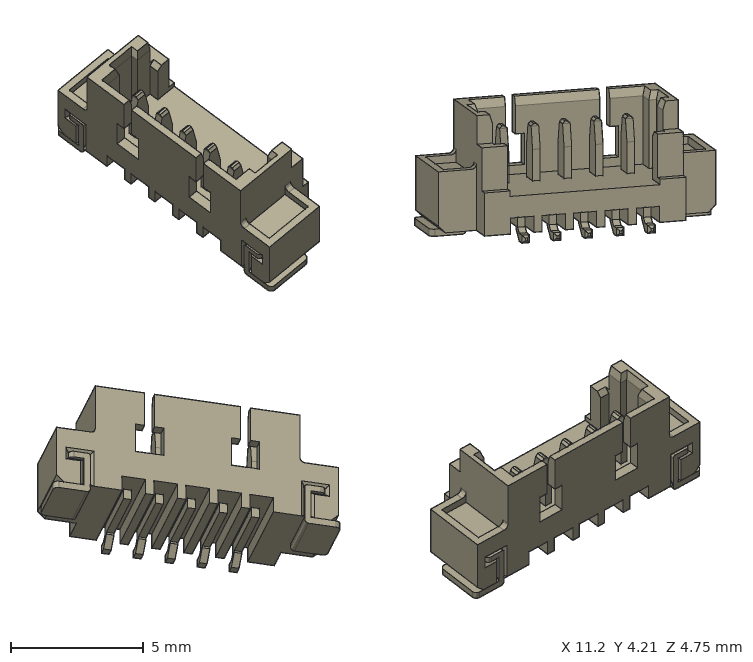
import cadquery as cq


housing_bottom = 0.28
housing_top = 4.75
body_half_width = 4.0
wing_half_width = 5.51
wing_depth = 2.73
wing_top = 2.67
wing_fillet = 0.2
wing_chamfer = 0.28
wing_pocket_wall = 0.3
wing_pocket_depth = 0.3

upper_depth = 2.8
post_depth = 3.4
base_depth = 3.71
post_top = 3.64
base_top = 1.96

cavity_floor = 1.75
cavity_front = 0.4
cavity_half_width = 3.38
groove_half_width = 3.68
groove_front = 1.12
groove_back = 2.12
mouth_height = 0.35
mouth_flare = 0.11
rear_gap_half_width = 2.98
post_chamfer = 0.2

pin_count = 5
pin_pitch = 5.0 / (pin_count - 1)
pin_width = 0.3
pin_front = 0.88
pin_back = 1.62
pin_shoulder = 2.97
pin_bevel = 3.83
pin_top = 3.93
pin_tip_width = 0.1
pin_tip_depth = 0.38
arm_bottom = 0.49
leg_front = 3.38
leg_back = 3.61
foot_start = 3.8
foot_thickness = 0.31
foot_shoulder = 4.12
foot_end = 4.21
foot_tip_width = 0.09
foot_tip_height = 0.1

notch_width = 0.92
notch_top = 0.91

window_spacing = 3 * pin_pitch
window_width = 1.1
window_bottom = 2.1
window_top = 3.3
window_slot_width = 0.39

clip_outer = 5.6
clip_inner = 4.19
clip_depth = 2.06
clip_foot_thickness = housing_bottom
clip_thickness = 0.25
clip_hook_end = 5.02
clip_top = 1.7
clip_bend_radius = 0.15
clip_hook_radius = 0.1
clip_end_radius = 0.19
clip_mouth_flare = 0.13
clip_mouth_depth = 0.13


def box(x_range, y_range, z_range):
    """Axis-aligned block between the given limits."""
    size = [high - low for low, high in (x_range, y_range, z_range)]
    corner = (x_range[0], y_range[0], z_range[0])
    return cq.Workplane("XY").box(*size, centered=False).translate(corner)


def both_sides(shape):
    """The shape together with its mirror image in the plane X = 0."""
    return shape.union(shape.mirror("YZ"))


def clip():
    """Right-hand clip: a foot, an upright and a hook, bent from one strip."""
    upright_outer = clip_inner + clip_thickness
    hook_bottom = clip_top - clip_thickness
    outline = [
        (clip_inner, 0),
        (clip_outer, 0),
        (clip_outer, clip_foot_thickness),
        (upright_outer, clip_foot_thickness),
        (upright_outer, hook_bottom),
        (clip_hook_end, hook_bottom),
        (clip_hook_end, clip_top),
        (clip_inner, clip_top),
    ]
    strip = cq.Workplane("XZ").polyline(outline).close().extrude(-clip_depth)
    strip = strip.edges("|Y and <X and <Z").fillet(clip_bend_radius)
    strip = strip.edges("|Y and <X and >Z").fillet(clip_hook_radius)
    strip = strip.faces(">X").edges("|Z").fillet(clip_end_radius)
    hook_middle = (hook_bottom + clip_top) / 2
    front_corner = cq.selectors.NearestToPointSelector((clip_hook_end, 0, hook_middle))
    back_corner = cq.selectors.NearestToPointSelector((clip_hook_end, clip_depth, hook_middle))
    return strip.edges("|Z").edges(front_corner + back_corner).fillet(clip_end_radius)


def clip_slot_outline(flare):
    """Outline of the slot for the right-hand clip, widened by the flare on every side."""
    inner = clip_inner - flare
    upright_outer = clip_inner + clip_thickness + flare
    hook_end = clip_hook_end + flare
    hook_bottom = clip_top - clip_thickness - flare
    bottom = housing_bottom + clip_mouth_flare - flare
    top = clip_top + flare
    return [
        (inner, bottom),
        (upright_outer, bottom),
        (upright_outer, hook_bottom),
        (hook_end, hook_bottom),
        (hook_end, top),
        (inner, top),
    ]


def clip_slot():
    """Slot for the right-hand clip, with a mouth that widens towards the front."""
    mouth = (
        cq.Workplane("XZ")
        .polyline(clip_slot_outline(clip_mouth_flare))
        .close()
        .workplane(offset=-clip_mouth_depth)
        .polyline(clip_slot_outline(0))
        .close()
        .loft(ruled=True)
    )
    slot = cq.Workplane("XZ").polyline(clip_slot_outline(0)).close().extrude(-clip_depth)
    return mouth.union(slot)


def pin():
    """Contact pin on X = 0: a blade, an arm, a leg sloping at 45 degrees and a foot, with tapered tips."""
    leg_front_bottom = foot_start - leg_front
    leg_back_bottom = foot_thickness + foot_start - leg_back
    outline = [
        (pin_front, arm_bottom),
        (leg_front, arm_bottom),
        (leg_front, leg_front_bottom),
        (foot_start, 0),
        (foot_shoulder, 0),
        (foot_shoulder, foot_thickness),
        (foot_start, foot_thickness),
        (leg_back, leg_back_bottom),
        (leg_back, notch_top),
        (pin_back, notch_top),
        (pin_back, pin_shoulder),
        (pin_front, pin_shoulder),
    ]
    body = cq.Workplane("YZ").polyline(outline).close().extrude(pin_width / 2, both=True)
    blade_taper = (
        cq.Workplane("XY", origin=(0, (pin_front + pin_back) / 2, pin_shoulder))
        .rect(pin_width, pin_back - pin_front)
        .workplane(offset=pin_bevel - pin_shoulder)
        .rect(pin_width, pin_tip_depth)
        .loft(ruled=True)
    )
    blade_tip = (
        cq.Workplane("XY", origin=(0, (pin_front + pin_back) / 2, pin_bevel))
        .rect(pin_width, pin_tip_depth)
        .workplane(offset=pin_top - pin_bevel)
        .rect(pin_tip_width, pin_tip_depth)
        .loft(ruled=True)
    )
    foot_tip = (
        cq.Workplane("XZ", origin=(0, foot_shoulder, foot_thickness / 2))
        .rect(pin_width, foot_thickness)
        .workplane(offset=foot_shoulder - foot_end)
        .rect(foot_tip_width, foot_tip_height)
        .loft(ruled=True)
    )
    return body.union(blade_taper).union(blade_tip).union(foot_tip)


def housing_blank():
    """Stepped central body with a wing on each side."""
    profile = [
        (0, housing_bottom),
        (base_depth, housing_bottom),
        (base_depth, base_top),
        (post_depth, base_top),
        (post_depth, post_top),
        (upper_depth, post_top),
        (upper_depth, housing_top),
        (0, housing_top),
    ]
    body = cq.Workplane("YZ").polyline(profile).close().extrude(body_half_width, both=True)
    fillet_end = body_half_width + wing_fillet
    wing = (
        cq.Workplane("XZ")
        .moveTo(0, housing_bottom)
        .lineTo(wing_half_width - wing_chamfer, housing_bottom)
        .lineTo(wing_half_width, housing_bottom + wing_chamfer)
        .lineTo(wing_half_width, wing_top)
        .lineTo(fillet_end, wing_top)
        .radiusArc((body_half_width, wing_top + wing_fillet), wing_fillet)
        .lineTo(0, wing_top + wing_fillet)
        .close()
        .extrude(-wing_depth)
    )
    return body.union(both_sides(wing))


def wing_pockets():
    """Shallow pocket in the top of each wing, open towards the body."""
    pocket = box(
        (body_half_width, wing_half_width - wing_pocket_wall),
        (wing_pocket_wall, wing_depth - wing_pocket_wall),
        (wing_top - wing_pocket_depth, housing_top),
    )
    return both_sides(pocket)


def cavity_outline(flare):
    """Outline of the mating cavity, with the front and side walls moved outwards by the flare."""
    half_outline = [
        (cavity_half_width + flare, cavity_front - flare),
        (cavity_half_width + flare, groove_front - flare),
        (groove_half_width + flare, groove_front - flare),
        (groove_half_width + flare, groove_back + flare),
        (cavity_half_width + flare, groove_back + flare),
        (cavity_half_width + flare, upper_depth),
    ]
    return half_outline + [(-x, y) for x, y in reversed(half_outline)]


def cavity():
    """Mating cavity with side grooves, a flared mouth, an open rear and chamfered rear posts."""
    well = cq.Workplane("XY", origin=(0, 0, cavity_floor)).polyline(cavity_outline(0)).close()
    well = well.extrude(housing_top - cavity_floor)
    mouth = (
        cq.Workplane("XY", origin=(0, 0, housing_top - mouth_height))
        .polyline(cavity_outline(0))
        .close()
        .workplane(offset=mouth_height)
        .polyline(cavity_outline(mouth_flare))
        .close()
        .loft(ruled=True)
    )
    rear_gap = box(
        (-rear_gap_half_width, rear_gap_half_width),
        (cavity_front, base_depth),
        (cavity_floor, housing_top),
    )
    post_chamfers = (
        cq.Workplane("YZ")
        .moveTo(upper_depth, post_top - post_chamfer)
        .lineTo(upper_depth + post_chamfer, post_top)
        .lineTo(upper_depth, post_top)
        .close()
        .extrude(cavity_half_width, both=True)
    )
    return well.union(mouth).union(rear_gap).union(post_chamfers)


def latch_windows():
    """Window with a slot up to the top edge, at two places in the front wall."""
    windows = cq.Workplane("XY")
    for center in (-window_spacing / 2, window_spacing / 2):
        window = box(
            (center - window_width / 2, center + window_width / 2),
            (0, cavity_front),
            (window_bottom, window_top),
        )
        slot = box(
            (center - window_slot_width / 2, center + window_slot_width / 2),
            (0, cavity_front),
            (window_bottom, housing_top),
        )
        windows = windows.add(window.union(slot))
    return windows.combine()


def pin_notch():
    """Notch under the housing, from front to back, around the pin on X = 0."""
    return box((-notch_width / 2, notch_width / 2), (0, base_depth), (housing_bottom, notch_top))


pin_places = [(i - (pin_count - 1) / 2) * pin_pitch for i in range(pin_count)]
pins = [pin().translate((x, 0, 0)) for x in pin_places]
clips = [clip(), clip().mirror("YZ")]

housing = housing_blank().cut(wing_pockets()).cut(cavity()).cut(latch_windows())
housing = housing.cut(both_sides(clip_slot()))
for x in pin_places:
    housing = housing.cut(pin_notch().translate((x, 0, 0)))
for insert in pins + clips:
    housing = housing.cut(insert)

result = cq.Compound.makeCompound([housing.val(), *[insert.val() for insert in pins + clips]])